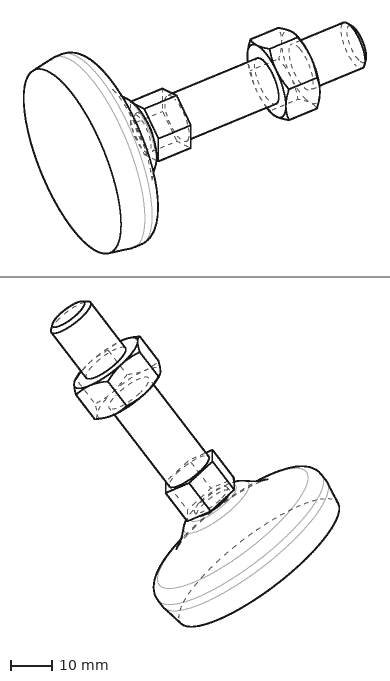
import cadquery as cq
import math

total_length = 79.0

foot_radius = 25.0
sole_radius = 24.0
taper_height = 6.0
rim_height = 8.0
shoulder_round = 3.0
shoulder_end_angle = math.radians(9.0)
flank_hollow_radius = 22.0
crown_round = 4.0
foot_height = 19.0

neck_diameter = 10.0
stud_diameter = 12.0
stud_end_diameter = 9.7
stud_chamfer_length = 1.0
wrench_hex_flats = 14.0
wrench_hex_start = 20.0
wrench_hex_length = 9.0

nut_flats = 19.0
nut_start = 54.0
nut_height = 9.5
nut_chamfer_angle = math.radians(30.0)


def corner_diameter(across_flats):
    """Across-corners size of a regular hexagon."""
    return across_flats / math.cos(math.radians(30.0))


def cylinder(diameter, start, end):
    """Round bar on the Y axis from height start to height end."""
    plane = cq.Workplane("XZ", origin=(0, start, 0))
    return plane.circle(diameter / 2).extrude(start - end)


def hex_prism(across_flats, start, height):
    """Hexagonal bar on the Y axis with two corners on the Z axis and flats facing +X and -X."""
    plane = cq.Workplane("XZ", origin=(0, start, 0)).transformed(rotate=(0, 0, 90))
    return plane.polygon(6, corner_diameter(across_flats)).extrude(-height)


def point_on_circle(center, radius, angle):
    """Point of a circle in the XY plane, with the angle measured from +Y towards +X."""
    return (
        center[0] + radius * math.sin(angle),
        center[1] + radius * math.cos(angle),
    )


def make_foot():
    """Tapered sole, straight rim and a top of three tangent arcs: shoulder, hollow flank, crown."""
    shoulder_center = (foot_radius - shoulder_round, rim_height)
    flank_center = point_on_circle(
        shoulder_center, shoulder_round + flank_hollow_radius, shoulder_end_angle
    )

    crown_center_height = foot_height - crown_round
    center_distance = flank_hollow_radius + crown_round
    crown_angle = math.acos((flank_center[1] - crown_center_height) / center_distance)
    crown_center = (
        flank_center[0] - center_distance * math.sin(crown_angle),
        crown_center_height,
    )

    shoulder_middle_angle = (shoulder_end_angle + math.pi / 2) / 2
    flank_middle_angle = math.pi + (shoulder_end_angle + crown_angle) / 2
    profile = (
        cq.Workplane("XY")
        .lineTo(sole_radius, 0)
        .lineTo(foot_radius, taper_height)
        .lineTo(foot_radius, rim_height)
        .threePointArc(
            point_on_circle(shoulder_center, shoulder_round, shoulder_middle_angle),
            point_on_circle(shoulder_center, shoulder_round, shoulder_end_angle),
        )
        .threePointArc(
            point_on_circle(flank_center, flank_hollow_radius, flank_middle_angle),
            point_on_circle(crown_center, crown_round, crown_angle),
        )
        .threePointArc(
            point_on_circle(crown_center, crown_round, crown_angle / 2),
            (crown_center[0], foot_height),
        )
        .lineTo(0, foot_height)
        .close()
    )
    return profile.revolve(360, (0, 0, 0), (0, 1, 0))


def make_stud():
    """Neck, wrench hexagon and round shank with a chamfered free end."""
    wrench_hex_end = wrench_hex_start + wrench_hex_length
    neck = cylinder(neck_diameter, foot_height, wrench_hex_start)
    wrench_hex = hex_prism(wrench_hex_flats, wrench_hex_start, wrench_hex_length)
    shank = cylinder(stud_diameter, wrench_hex_end, total_length)
    chamfer_inset = (stud_diameter - stud_end_diameter) / 2
    shank = shank.faces(">Y").edges().chamfer(stud_chamfer_length, chamfer_inset)
    return neck.union(wrench_hex).union(shank)


def make_nut():
    """Hexagon nut with conical chamfers that trim its corners at both ends."""
    corner_radius = corner_diameter(nut_flats) / 2
    face_radius = nut_flats / 2
    corner_drop = (corner_radius - face_radius) * math.tan(nut_chamfer_angle)
    nut_end = nut_start + nut_height
    envelope = (
        cq.Workplane("XY")
        .moveTo(0, nut_start)
        .lineTo(face_radius, nut_start)
        .lineTo(corner_radius, nut_start + corner_drop)
        .lineTo(corner_radius, nut_end - corner_drop)
        .lineTo(face_radius, nut_end)
        .lineTo(0, nut_end)
        .close()
        .revolve(360, (0, 0, 0), (0, 1, 0))
    )
    return hex_prism(nut_flats, nut_start, nut_height).intersect(envelope)


result = make_foot().union(make_stud()).union(make_nut())